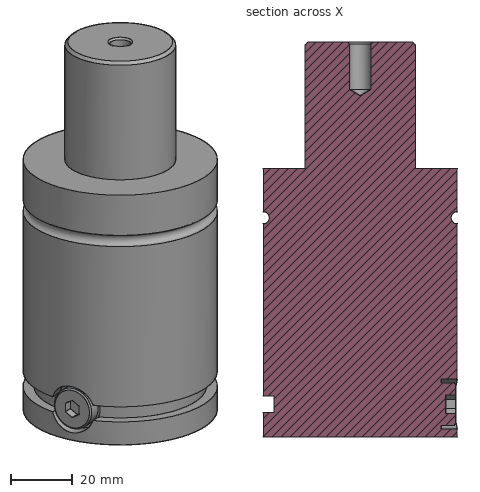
import cadquery as cq
import math

body_diameter = 63.0
body_height = 87.0
body_radius = body_diameter / 2

clamp_groove_bottom = 8.0
clamp_groove_height = 5.2
clamp_groove_diameter = 56.0

round_groove_radius = 1.9
collar_height = 14.1
round_groove_z = body_height - collar_height - round_groove_radius

total_height = 128.0
rod_diameter = 36.0
rod_chamfer = 1.0
rod_hole_diameter = 6.8
rod_hole_mouth_diameter = 8.0
rod_hole_depth = 15.4
drill_tip_angle = 118.0

plug_z = clamp_groove_bottom + clamp_groove_height / 2
counterbore_diameter = 16.0
counterbore_floor_distance = 26.2
plug_diameter = 14.0
plug_face_distance = 31.0
plug_chamfer = 0.5
hex_across_flats = 5.1
hex_depth = 3.2


def make_body():
    """Revolve the body and its two grooves around Z."""
    clamp_groove_radius = clamp_groove_diameter / 2
    clamp_groove_top = clamp_groove_bottom + clamp_groove_height
    return (
        cq.Workplane("XZ")
        .lineTo(body_radius, 0)
        .lineTo(body_radius, clamp_groove_bottom)
        .lineTo(clamp_groove_radius, clamp_groove_bottom)
        .lineTo(clamp_groove_radius, clamp_groove_top)
        .lineTo(body_radius, clamp_groove_top)
        .lineTo(body_radius, round_groove_z - round_groove_radius)
        .threePointArc(
            (body_radius - round_groove_radius, round_groove_z),
            (body_radius, round_groove_z + round_groove_radius),
        )
        .lineTo(body_radius, body_height)
        .lineTo(0, body_height)
        .close()
        .revolve(360, (0, 0, 0), (0, 1, 0))
    )


def make_rod():
    """Piston rod with a chamfered end."""
    return (
        cq.Workplane("XY")
        .workplane(offset=body_height)
        .circle(rod_diameter / 2)
        .extrude(total_height - body_height)
        .faces(">Z")
        .chamfer(rod_chamfer)
    )


def make_rod_hole():
    """Cutter for the countersunk blind hole with a conical drill tip."""
    hole_radius = rod_hole_diameter / 2
    mouth_radius = rod_hole_mouth_diameter / 2
    tip_depth = hole_radius / math.tan(math.radians(drill_tip_angle / 2))
    hole_floor = total_height - rod_hole_depth
    return (
        cq.Workplane("XZ")
        .moveTo(0, total_height)
        .lineTo(mouth_radius, total_height)
        .lineTo(hole_radius, total_height - (mouth_radius - hole_radius))
        .lineTo(hole_radius, hole_floor)
        .lineTo(0, hole_floor - tip_depth)
        .close()
        .revolve(360, (0, 0, 0), (0, 1, 0))
    )


def plug_plane(distance):
    """Plane at the given distance from the body axis, facing -Y on the plug axis."""
    return cq.Workplane("XZ", origin=(0, -distance, plug_z))


def make_counterbore():
    """Cutter for the counterbore, from its floor out through the body wall."""
    counterbore_depth = body_radius - counterbore_floor_distance
    return plug_plane(counterbore_floor_distance).circle(counterbore_diameter / 2).extrude(counterbore_depth)


def make_plug():
    """Chamfered plug standing on the counterbore floor, with a hexagon socket, corners up and down."""
    hex_corner_diameter = hex_across_flats / math.cos(math.radians(30))
    socket = (
        plug_plane(plug_face_distance)
        .transformed(rotate=(0, 0, 90))
        .polygon(6, hex_corner_diameter)
        .extrude(-hex_depth)
    )
    return (
        plug_plane(counterbore_floor_distance)
        .circle(plug_diameter / 2)
        .extrude(plug_face_distance - counterbore_floor_distance)
        .faces("<Y")
        .chamfer(plug_chamfer)
        .cut(socket)
    )


result = (
    make_body()
    .union(make_rod())
    .cut(make_rod_hole())
    .cut(make_counterbore())
    .union(make_plug())
)